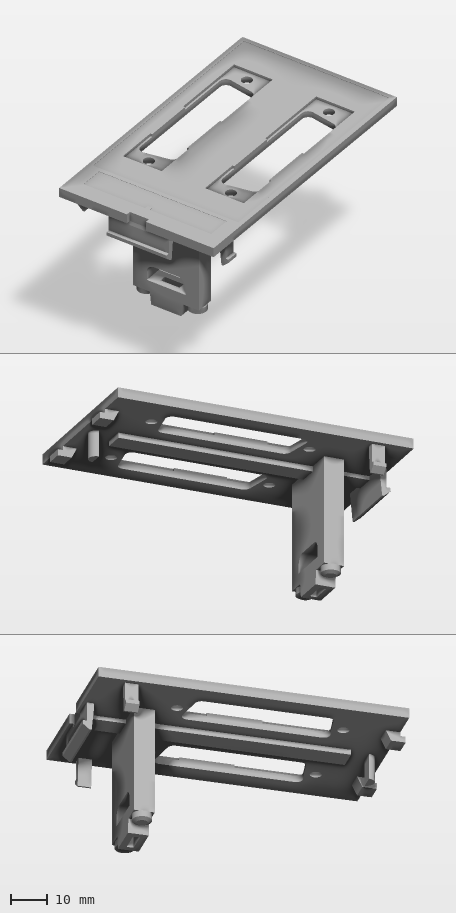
import cadquery as cq
import math


plate_width = 50.7
overall_length = 89.0
hook_overhang = 1.5
plate_length = overall_length - hook_overhang
plate_thickness = 2.9
overall_height = 38.4

recess_depth = 0.1
panel_width = 47.8
panel_front = 14.0
panel_back_margin = 1.4
panel_back = plate_length - panel_back_margin
label_width = 41.9
label_front = 5.25
label_back = 12.6
label_tab_width = 1.5
label_tab_length = 1.25

connector_spacing = 27.0
connector_y = 48.95
pocket_width = 12.7
pocket_length = 53.0
pocket_depth = 1.0
land_front = 35.5
land_back = 51.2
opening_width = 11.5
opening_length = 42.5
opening_taper_angle = 10.0
opening_corner_radius = 2.0
screw_spacing = 46.8
screw_hole_diameter = 3.3

clip_bottom = 11.1
clip_root_thickness = 2.05
clip_tip_inner_offset = 1.3
clip_taper_start = 4.1
barb_top = 8.45
barb_tip_end = 9.5
barb_toe_offset = 0.5
front_clip_width = 19.8
front_clip_inset = 1.2
front_barb_reach = front_clip_inset
side_clip_width = 3.8
side_clip_y = 9.8
side_clip_inset = 1.5
side_barb_reach = 1.0

notch_width = 6.2
notch_depth = 1.4
notch_bottom = 4.1

rib_width = notch_width
front_rib_bottom = notch_bottom
rear_rib_bottom = 4.45
rear_rib_end = 77.5

bracket_width = 21.5
bracket_depth = 5.9
bracket_front = 14.15
bracket_y = bracket_front + bracket_depth / 2
bracket_bottom = 34.3
tongue_top_width = 10.7
tongue_bottom_width = 9.8
window_width = 12.6
window_top = 25.7
window_bottom = 30.8
window_corner_radius = 2.5
tongue_slot_width = 6.2
tongue_slot_depth = 2.0

foot_spacing = 16.8
foot_diameter = 5.5
foot_height = 2.4
foot_edge_height = 0.6
foot_edge_width = 1.2

hook_spacing = 28.1
hook_width = 5.2
hook_lip_top = 4.1
hook_bottom = 5.9
hook_root_front = 83.4
hook_toe_front = 84.9
leg_radius = 2.1
leg_front = 82.9
leg_bottom = 10.5


def block(width, front, back, top, bottom, x=0.0):
    """Box centred on x, from front to back in Y, between two depths below the top face."""
    return (
        cq.Workplane("XY")
        .box(width, back - front, bottom - top, centered=(True, False, False))
        .translate((x, front, -bottom))
    )


def both_sides(spacing):
    """X positions of a mirrored pair."""
    return (-spacing / 2, spacing / 2)


def snap_clip(width, inset, barb_reach):
    """Clip for an edge along X at Y = 0, its barb pointing toward -Y."""
    tip_inner = inset + clip_tip_inner_offset
    profile = [
        (inset, -plate_thickness),
        (inset, -barb_top),
        (inset - barb_reach, -barb_top),
        (inset - barb_reach, -barb_tip_end),
        (tip_inner - barb_toe_offset, -clip_bottom),
        (tip_inner, -clip_bottom),
        (inset + clip_root_thickness, -clip_taper_start),
        (inset + clip_root_thickness, -plate_thickness),
    ]
    return cq.Workplane("YZ").polyline(profile).close().extrude(width / 2, both=True)


def side_clip(side):
    """Snap clip turned onto the left (-1) or right (+1) edge of the plate."""
    clip = snap_clip(side_clip_width, side_clip_inset, side_barb_reach)
    clip = clip.rotate((0, 0, 0), (0, 0, 1), side * 90)
    return clip.translate((side * plate_width / 2, side_clip_y, 0))


def front_notch():
    """Cutter through the front edge, running out along a slope on the front clip."""
    profile = [
        (0, 0),
        (notch_depth, 0),
        (notch_depth, -plate_thickness),
        (front_clip_inset, -notch_bottom),
        (0, -notch_bottom),
    ]
    return cq.Workplane("YZ").polyline(profile).close().extrude(notch_width / 2, both=True)


def connector_cutout(x):
    """D-shaped opening, sunken pockets at its two ends and the two screw holes."""
    half_width = opening_width / 2
    long_half = opening_length / 2
    short_half = long_half - opening_width * math.tan(math.radians(opening_taper_angle))
    cutter = (
        cq.Workplane("XY")
        .polyline([
            (-half_width, -long_half),
            (half_width, -short_half),
            (half_width, short_half),
            (-half_width, long_half),
        ])
        .close()
        .extrude(-plate_thickness)
        .edges("|Z")
        .fillet(opening_corner_radius)
        .translate((x, connector_y, 0))
    )
    holes = (
        cq.Workplane("XY")
        .pushPoints([(x, connector_y - screw_spacing / 2), (x, connector_y + screw_spacing / 2)])
        .circle(screw_hole_diameter / 2)
        .extrude(-plate_thickness)
    )
    pocket_front = connector_y - pocket_length / 2
    pocket_back = connector_y + pocket_length / 2
    front_pocket = block(pocket_width, pocket_front, land_front, 0, pocket_depth, x)
    back_pocket = block(pocket_width, land_back, pocket_back, 0, pocket_depth, x)
    return cutter.union(holes).union(front_pocket).union(back_pocket)


def label_recess():
    """Label recess with a small tab left standing at its front edge."""
    recess = block(label_width, label_front, label_back, 0, recess_depth)
    tab = block(label_tab_width, label_front, label_front + label_tab_length, 0, recess_depth)
    return recess.cut(tab)


def bracket():
    """Hanging bracket with its tapered tongue, arched window and slot through the tongue."""
    outline = [
        (-bracket_width / 2, -plate_thickness),
        (-bracket_width / 2, -bracket_bottom),
        (-tongue_top_width / 2, -bracket_bottom),
        (-tongue_bottom_width / 2, -overall_height),
        (tongue_bottom_width / 2, -overall_height),
        (tongue_top_width / 2, -bracket_bottom),
        (bracket_width / 2, -bracket_bottom),
        (bracket_width / 2, -plate_thickness),
    ]
    body = (
        cq.Workplane("XZ", origin=(0, bracket_front, 0))
        .polyline(outline)
        .close()
        .extrude(-bracket_depth)
    )
    window = (
        block(window_width, bracket_front, bracket_front + bracket_depth, window_top, window_bottom)
        .edges("|Y and >Z")
        .fillet(window_corner_radius)
    )
    slot = block(
        tongue_slot_width,
        bracket_y - tongue_slot_depth / 2,
        bracket_y + tongue_slot_depth / 2,
        window_bottom,
        overall_height,
    )
    return body.cut(window).cut(slot)


def foot(x):
    """Round foot with a flat conical edge."""
    return (
        cq.Workplane("XY", origin=(x, bracket_y, -bracket_bottom))
        .circle(foot_diameter / 2)
        .extrude(-foot_height)
        .faces("<Z")
        .chamfer(foot_edge_height, foot_edge_width)
    )


def rear_hook(x):
    """Hook with a sloping front face and a lip reaching past the rear edge."""
    profile = [
        (hook_root_front, -plate_thickness),
        (plate_length, -plate_thickness),
        (plate_length, -hook_lip_top),
        (overall_length, -hook_lip_top),
        (overall_length, -hook_bottom),
        (hook_toe_front, -hook_bottom),
    ]
    hook = cq.Workplane("YZ").polyline(profile).close().extrude(hook_width / 2, both=True)
    return hook.translate((x, 0, 0))


def rear_leg():
    """Half-round leg with its flat side toward the front."""
    return (
        cq.Workplane("XY", origin=(0, leg_front, -plate_thickness))
        .moveTo(-leg_radius, 0)
        .threePointArc((0, leg_radius), (leg_radius, 0))
        .close()
        .extrude(plate_thickness - leg_bottom)
    )


result = block(plate_width, 0, plate_length, 0, plate_thickness)
result = result.cut(block(panel_width, panel_front, panel_back, 0, recess_depth))
result = result.cut(label_recess())
for connector_x in both_sides(connector_spacing):
    result = result.cut(connector_cutout(connector_x))

result = result.union(block(rib_width, front_clip_inset, bracket_front, plate_thickness, front_rib_bottom))
result = result.union(block(rib_width, bracket_front, rear_rib_end, plate_thickness, rear_rib_bottom))
result = result.union(snap_clip(front_clip_width, front_clip_inset, front_barb_reach))
for side in (-1, 1):
    result = result.union(side_clip(side))
result = result.cut(front_notch())

result = result.union(bracket())
for foot_x in both_sides(foot_spacing):
    result = result.union(foot(foot_x))

for hook_x in both_sides(hook_spacing):
    result = result.union(rear_hook(hook_x))
result = result.union(rear_leg())